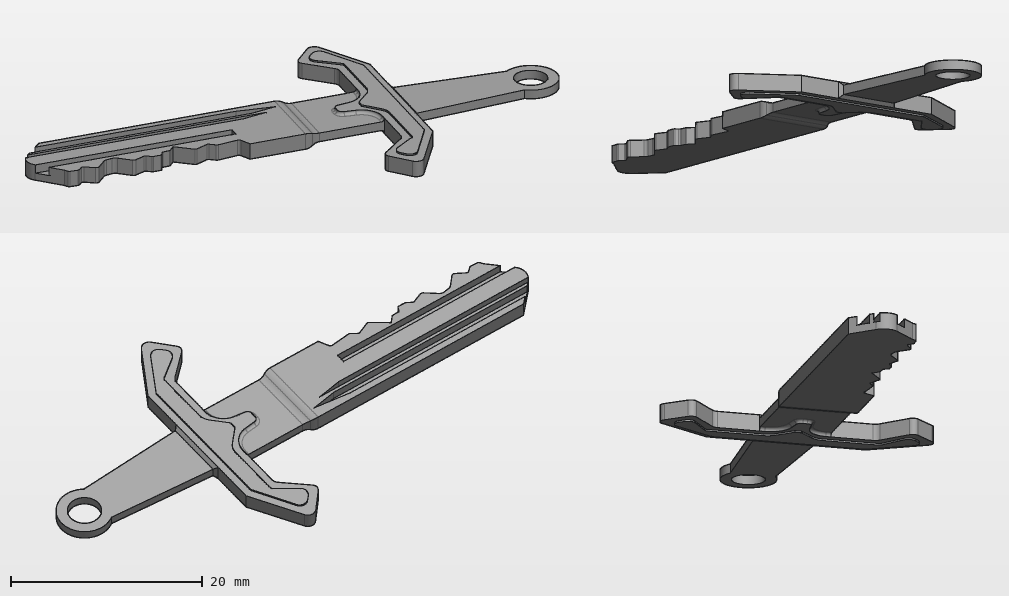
import cadquery as cq
import math

LENGTH = 59.5
POMMEL_END_Y = LENGTH / 2
TIP_Y = -LENGTH / 2

THIN = 1.0
THICK = 1.8
INLAY_THICKNESS = 2.15
STEP = (THICK - THIN) / 2

POMMEL_RADIUS = 3.0
POMMEL_HOLE_RADIUS = 1.8
POMMEL_Y = POMMEL_END_Y - POMMEL_RADIUS
HANDLE_TOP_HALF_WIDTH = 2.45
HANDLE_TOP_Y = POMMEL_Y - math.sqrt(POMMEL_RADIUS**2 - HANDLE_TOP_HALF_WIDTH**2)
HANDLE_BASE_HALF_WIDTH = 3.35
COLLAR_LENGTH = STEP

GUARD_TOP_Y = 12.2
GUARD_BOTTOM_Y = 8.7
TONGUE_END_Y = 4.9
COVE_RADIUS = 0.35
HANDLE_BASE_Y = GUARD_TOP_Y + COLLAR_LENGTH
JOINT_Y = (GUARD_TOP_Y + GUARD_BOTTOM_Y) / 2

RICASSO_HALF_WIDTH = 3.85
SWELL_TOP_Y = 1.35
SWELL_LENGTH = 1.7
BLADE_TOP_Y = SWELL_TOP_Y - SWELL_LENGTH
BLADE_HALF_WIDTH = RICASSO_HALF_WIDTH + STEP

TIP_X = -0.8
TIP_RADIUS = 1.6
APEX_Y = TIP_Y - TIP_RADIUS * (math.sqrt(2) - 1)
LEFT_SHOULDER_Y = APEX_Y + BLADE_HALF_WIDTH + TIP_X
RIGHT_SHOULDER_X = 2.75
RIGHT_SHOULDER_Y = APEX_Y + RIGHT_SHOULDER_X - TIP_X

GROOVE_DEPTH = 0.95
EDGE_GROOVE_X = (-3.5, -2.45)
MIDDLE_GROOVE_X = (-2.1, -1.55)
BIT_GROOVE_X = (0.4, 1.5)
EDGE_GROOVE_POINT = (-3.0, -0.8)
MIDDLE_GROOVE_POINT_Y = -2.15
BIT_GROOVE_END_Y = -7.1
GROOVE_TAPER_END_Y = -5.0
EDGE_GROOVE_INNER_TAPER_END_Y = -3.7

KEY_CUTS = [
    (BLADE_HALF_WIDTH, -6.6, 0),
    (2.9, -7.25, 0.35),
    (3.2, -9.9, 0.35),
    (2.6, -10.7, 0.25),
    (3.35, -12.3, 0.25),
    (1.85, -14.3, 0),
    (2.55, -14.95, 0.1),
    (2.6, -15.9, 0.25),
    (3.2, -16.1, 0.2),
    (3.2, -17.15, 0.3),
    (2.75, -17.85, 0.25),
    (3.35, -19.3, 0.35),
    (1.95, -20.95, 0.7),
    (2.15, -22.15, 0.7),
    (3.55, -23.45, 0.35),
    (2.7, -24.85, 0.25),
    (3.3, -25.5, 0.25),
    (3.2, -26.6, 0.2),
    (RIGHT_SHOULDER_X, RIGHT_SHOULDER_Y, 0),
]


def rounded_outline(corners):
    """Closed wire through (x, y, radius) corners, rounding each one that has a radius."""
    vectors = [cq.Vector(x, y) for x, y, _ in corners]
    edges = []
    stretches = []
    for i, (_, _, radius) in enumerate(corners):
        corner = vectors[i]
        back = (vectors[i - 1] - corner).normalized()
        ahead = (vectors[(i + 1) % len(vectors)] - corner).normalized()
        if radius == 0:
            stretches.append((corner, corner))
            continue
        half_angle = back.getAngle(ahead) / 2
        setback = radius / math.tan(half_angle)
        inset = radius / math.sin(half_angle) - radius
        start = corner + back * setback
        middle = corner + (back + ahead).normalized() * inset
        end = corner + ahead * setback
        edges.append(cq.Edge.makeThreePointArc(start, middle, end))
        stretches.append((start, end))
    for i, (start, _) in enumerate(stretches):
        edges.append(cq.Edge.makeLine(stretches[i - 1][1], start))
    return cq.Wire.assembleEdges(edges)


def centred_plate(wire, thickness):
    """Flat plate of the given outline, centred on Z = 0."""
    face = cq.Workplane("XY").add(wire).toPending()
    return face.extrude(thickness / 2, both=True)


def symmetric_plate(right_half, thickness):
    """Plate from the corners of its +X half, listed from top to bottom."""
    left_half = [(-x, y, radius) for x, y, radius in reversed(right_half)]
    return centred_plate(rounded_outline(right_half + left_half), thickness)


def make_handle():
    """Tapered grip with the pommel ring and the collar that flares out to the guard."""
    grip = symmetric_plate(
        [
            (HANDLE_TOP_HALF_WIDTH, HANDLE_TOP_Y, 0),
            (HANDLE_BASE_HALF_WIDTH, HANDLE_BASE_Y, 0),
            (HANDLE_BASE_HALF_WIDTH, JOINT_Y, 0),
        ],
        THIN,
    )
    pommel_plane = cq.Workplane("XY").center(0, POMMEL_Y)
    ring = pommel_plane.circle(POMMEL_RADIUS).extrude(THIN / 2, both=True)
    hole = pommel_plane.circle(POMMEL_HOLE_RADIUS).extrude(THIN, both=True)
    collar = (
        cq.Workplane("XZ", origin=(0, HANDLE_BASE_Y, 0))
        .rect(2 * HANDLE_BASE_HALF_WIDTH, THIN)
        .workplane(offset=COLLAR_LENGTH)
        .rect(2 * (HANDLE_BASE_HALF_WIDTH + STEP), THICK)
        .loft()
    )
    return grip.union(ring).union(collar).cut(hole)


def make_guard():
    """Crossguard with a central tongue and an inlay standing proud on both faces."""
    body = symmetric_plate(
        [
            (8.6, GUARD_TOP_Y, 0),
            (15.35, 8.25, 0.85),
            (11.95, 5.25, 0.65),
            (8.8, GUARD_BOTTOM_Y, 0.9),
            (1.25, GUARD_BOTTOM_Y, 2.3),
            (0.8, TONGUE_END_Y, 0.6),
        ],
        THICK,
    )
    inlay = symmetric_plate(
        [
            (8.3, 11.35, 0),
            (13.8, 8.2, 0.85),
            (11.85, 6.35, 0.85),
            (9.45, 9.6, 0.25),
            (2.5, 9.6, 1.8),
            (0.35, 7.55, 0),
        ],
        INLAY_THICKNESS,
    )
    return body.union(inlay)


def make_blank(workplane, half_size, half_depth):
    """Ricasso and blade slab whose half size grows by STEP along an S-shaped swell.

    The slab reaches half_depth to either side of the workplane.
    """
    full_size = half_size + STEP
    middle = (half_size + STEP / 2, SWELL_TOP_Y - SWELL_LENGTH / 2)
    return (
        workplane.moveTo(-half_size, JOINT_Y)
        .lineTo(half_size, JOINT_Y)
        .lineTo(half_size, SWELL_TOP_Y)
        .tangentArcPoint(middle, relative=False)
        .tangentArcPoint((full_size, BLADE_TOP_Y), relative=False)
        .lineTo(full_size, TIP_Y)
        .lineTo(-full_size, TIP_Y)
        .lineTo(-full_size, BLADE_TOP_Y)
        .tangentArcPoint((-middle[0], middle[1]), relative=False)
        .tangentArcPoint((-half_size, SWELL_TOP_Y), relative=False)
        .close()
        .extrude(half_depth, both=True)
    )


def make_blade():
    """Ricasso and blade, swelling in both width and thickness, cut to the key outline."""
    plan = make_blank(cq.Workplane("XY"), RICASSO_HALF_WIDTH, THICK)
    side_plane = cq.Plane(origin=(0, 0, 0), xDir=(0, 0, 1), normal=(-1, 0, 0))
    side = make_blank(cq.Workplane(side_plane), THIN / 2, LENGTH)
    outline = rounded_outline(
        [
            (-BLADE_HALF_WIDTH, JOINT_Y, 0),
            (BLADE_HALF_WIDTH, JOINT_Y, 0),
            *KEY_CUTS,
            (TIP_X, APEX_Y, TIP_RADIUS),
            (-BLADE_HALF_WIDTH, LEFT_SHOULDER_Y, 0),
        ]
    )
    return plan.intersect(side).intersect(centred_plate(outline, THICK))


def make_grooves():
    """Flat-bottomed grooves in the upper face, all running out through the tip."""
    edge_left, edge_right = EDGE_GROOVE_X
    middle_left, middle_right = MIDDLE_GROOVE_X
    bit_left, bit_right = BIT_GROOVE_X
    outlines = [
        [
            (edge_left, TIP_Y),
            (edge_left, GROOVE_TAPER_END_Y),
            EDGE_GROOVE_POINT,
            (edge_right, EDGE_GROOVE_INNER_TAPER_END_Y),
            (edge_right, TIP_Y),
        ],
        [
            (middle_left, TIP_Y),
            (middle_left, MIDDLE_GROOVE_POINT_Y),
            (middle_right, GROOVE_TAPER_END_Y),
            (middle_right, TIP_Y),
        ],
        [
            (bit_left, TIP_Y),
            (bit_left, BIT_GROOVE_END_Y),
            (bit_right, BIT_GROOVE_END_Y),
            (bit_right, TIP_Y),
        ],
    ]
    floor = cq.Workplane("XY", origin=(0, 0, THICK / 2 - GROOVE_DEPTH))
    grooves = cq.Workplane("XY")
    for outline in outlines:
        grooves = grooves.union(floor.polyline(outline).close().extrude(2 * GROOVE_DEPTH))
    return grooves


def add_coves(body):
    """Fillet the foot of the guard's lower edge on both faces of the ricasso."""
    reach_x = RICASSO_HALF_WIDTH - COVE_RADIUS / 2
    level_band = STEP / 4
    for foot_z in (-THIN / 2, THIN / 2):
        foot = cq.selectors.BoxSelector(
            (-reach_x, TONGUE_END_Y - COVE_RADIUS, foot_z - level_band),
            (reach_x, GUARD_BOTTOM_Y + COVE_RADIUS, foot_z + level_band),
        )
        body = body.edges(foot).fillet(COVE_RADIUS)
    return body


blade = make_blade().cut(make_grooves())
result = add_coves(make_handle().union(make_guard()).union(blade))